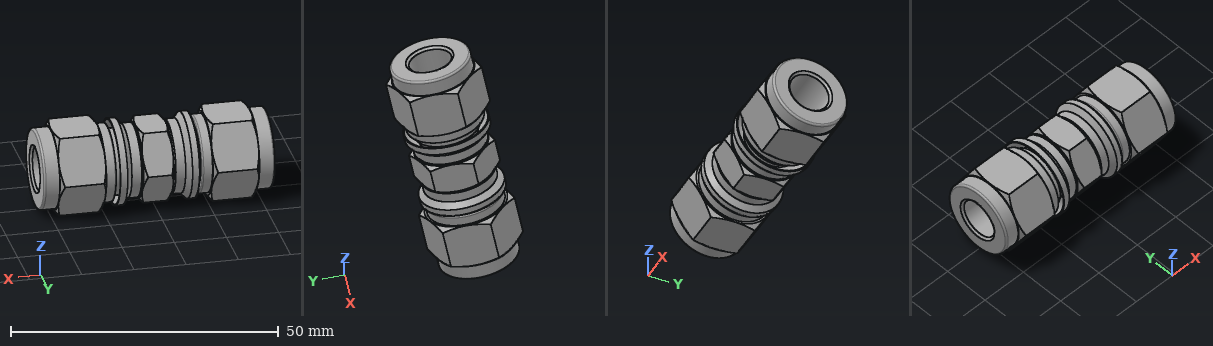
import cadquery as cq
import math

length = 44.35
mid = length / 2

collar_diameter = 15.5
collar_length = 3.05
collar_round = 0.4
nut_corners = 18.35
nut_hex_end = 11.95
neck_diameter = 15.0
neck_end = 13.95
neck_round = 0.25

core_diameter = 12.7
flange_diameter = 16.5
flange_start = 14.6
flange_end = 15.95
cone_end = 17.03

hollow_diameter = 16.05
hollow_end = 16.85
core_step_start = 15.45
core_step_end = 15.6
core_root_diameter = 11.4

shoulder_diameter = 14.2
shoulder_chamfer = 0.35
body_corners = 16.5
body_hex_length = 5.85
shoulder_end = mid - body_hex_length / 2
hex_chamfer_angle = math.radians(30)

passage_diameter = 6.35
socket_diameter = 8.15
socket_depth = flange_end
mouth_diameter = 9.15
mouth_depth = (mouth_diameter - socket_diameter) / 2


def cylinder(start, end, diameter):
    """Solid cylinder on the X axis."""
    return cq.Workplane("YZ", origin=(start, 0, 0)).circle(diameter / 2).extrude(end - start)


def cone(start, end, start_diameter, end_diameter):
    """Solid truncated cone on the X axis."""
    profile = [(start, 0), (start, start_diameter / 2), (end, end_diameter / 2), (end, 0)]
    return cq.Workplane("XY").polyline(profile).close().revolve(360, (0, 0, 0), (1, 0, 0))


def chamfered_hex(start, end, corners):
    """Hexagon with corners on Y, both ends turned down to the across-flats circle."""
    prism = cq.Workplane("YZ", origin=(start, 0, 0)).polygon(6, corners).extrude(end - start)
    corner_radius = corners / 2
    flat_radius = corner_radius * math.cos(math.pi / 6)
    setback = (corner_radius - flat_radius) * math.tan(hex_chamfer_angle)
    profile = [
        (start, 0),
        (start, flat_radius),
        (start + setback, corner_radius),
        (end - setback, corner_radius),
        (end, flat_radius),
        (end, 0),
    ]
    envelope = cq.Workplane("XY").polyline(profile).close().revolve(360, (0, 0, 0), (1, 0, 0))
    return prism.intersect(envelope)


def nut():
    collar = cylinder(0, collar_length, collar_diameter).faces("<X").edges().fillet(collar_round)
    neck = cylinder(nut_hex_end, neck_end, neck_diameter).faces(">X").edges().fillet(neck_round)
    return collar.union(chamfered_hex(collar_length, nut_hex_end, nut_corners)).union(neck)


def half_body():
    core = cylinder(neck_end, flange_start, core_diameter)
    flange = cylinder(flange_start, flange_end, flange_diameter)
    taper = cone(flange_end, cone_end, flange_diameter, shoulder_diameter)
    shoulder = cylinder(cone_end, shoulder_end, shoulder_diameter)
    shoulder = shoulder.faces(">X").edges().chamfer(shoulder_chamfer)
    return core.union(flange).union(taper).union(shoulder)


def flange_hollow():
    """Ring-shaped hollow: a rounded outer wall around the core, which steps down inside."""
    rim_radius = hollow_diameter / 2
    core_radius = core_diameter / 2
    root_radius = core_root_diameter / 2
    bulge = math.sqrt(0.5)
    arc_middle = (
        flange_start + (hollow_end - flange_start) * bulge,
        root_radius + (rim_radius - root_radius) * bulge,
    )
    profile = (
        cq.Workplane("XY")
        .moveTo(flange_start, core_radius)
        .lineTo(flange_start, rim_radius)
        .threePointArc(arc_middle, (hollow_end, root_radius))
        .lineTo(core_step_end, root_radius)
        .lineTo(core_step_start, core_radius)
        .close()
    )
    return profile.revolve(360, (0, 0, 0), (1, 0, 0))


def half_bore():
    mouth = cone(0, mouth_depth, mouth_diameter, socket_diameter)
    socket = cylinder(0, socket_depth, socket_diameter)
    passage = cylinder(0, mid, passage_diameter)
    return mouth.union(socket).union(passage)


half = nut().union(half_body()).cut(flange_hollow()).cut(half_bore())
body_hex = chamfered_hex(shoulder_end, length - shoulder_end, body_corners)
body_hex = body_hex.cut(cylinder(0, length, passage_diameter))
result = half.union(half.mirror("YZ", (mid, 0, 0))).union(body_hex)
result = result.translate((-mid, 0, 0))